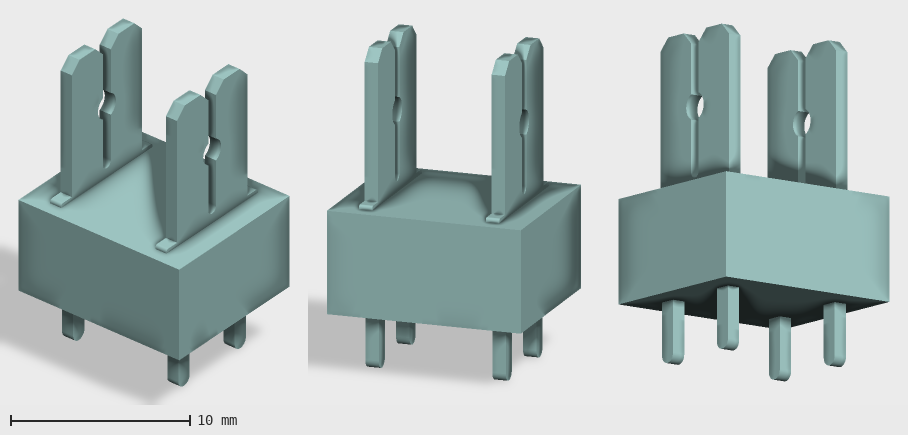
import cadquery as cq

HOUSING_LENGTH = 11.5
HOUSING_WIDTH = 9.8
HOUSING_HEIGHT = 6.0

TERMINAL_SPACING = 7.53
TERMINAL_THICKNESS = 0.8

OVERALL_HEIGHT = 18.5
BLADE_RISE = 9.0
BLADE_WIDTH = 6.23
TIP_CHAMFER = 0.68
SLOT_WIDTH = 0.68
SLOT_DEPTH = 8.36
HOLE_DIAMETER = 1.6
HOLE_DEPTH = 4.3

SHOULDER_WIDTH = 8.12
SHOULDER_RISE = 0.25
SHOULDER_FILLET = 0.18
SHOULDER_BOTTOM = HOUSING_HEIGHT / 2

LEG_WIDTH = 1.0
LEG_SPACING = 5.0

BLADE_TOP = HOUSING_HEIGHT + BLADE_RISE
SHOULDER_TOP = HOUSING_HEIGHT + SHOULDER_RISE
LEG_BOTTOM = BLADE_TOP - OVERALL_HEIGHT


def plate(width, bottom, top, center_y=0):
    """Upright rectangular plate of terminal thickness."""
    return cq.Workplane("XY").box(TERMINAL_THICKNESS, width, top - bottom).translate(
        (0, center_y, (bottom + top) / 2)
    )


def disc(diameter, center_y, center_z):
    """Round disc of terminal thickness, with its axis along X."""
    return (
        cq.Workplane("YZ", origin=(-TERMINAL_THICKNESS / 2, 0, 0))
        .center(center_y, center_z)
        .circle(diameter / 2)
        .extrude(TERMINAL_THICKNESS)
    )


def make_prong(side):
    """One half of the blade, with both tip corners chamfered."""
    prong_width = (BLADE_WIDTH - SLOT_WIDTH) / 2
    center_y = side * (BLADE_WIDTH + SLOT_WIDTH) / 4
    prong = plate(prong_width, SHOULDER_TOP, BLADE_TOP, center_y)
    return prong.faces(">Z").edges("|X").chamfer(TIP_CHAMFER)


def make_blade():
    """Two prongs joined below a round-bottomed slot, with a round hole across the slot."""
    slot_end = BLADE_TOP - SLOT_DEPTH + SLOT_WIDTH / 2
    bridge = plate(SLOT_WIDTH, SHOULDER_TOP, slot_end).cut(disc(SLOT_WIDTH, 0, slot_end))
    hole = disc(HOLE_DIAMETER, 0, BLADE_TOP - HOLE_DEPTH)
    return make_prong(-1).union(make_prong(1)).union(bridge).cut(hole)


def make_shoulder():
    """Wide base of the terminal, with rounded upper corners."""
    shoulder = plate(SHOULDER_WIDTH, SHOULDER_BOTTOM, SHOULDER_TOP)
    return shoulder.faces(">Z").edges("|X").fillet(SHOULDER_FILLET)


def make_leg(side):
    """Straight leg with a semicircular lower end."""
    center_y = side * LEG_SPACING / 2
    round_center = LEG_BOTTOM + LEG_WIDTH / 2
    leg = plate(LEG_WIDTH, round_center, SHOULDER_BOTTOM, center_y)
    return leg.union(disc(LEG_WIDTH, center_y, round_center))


def make_terminal(side):
    """Complete terminal on the given side of the housing."""
    terminal = make_shoulder().union(make_blade())
    for leg_side in (-1, 1):
        terminal = terminal.union(make_leg(leg_side))
    return terminal.translate((side * TERMINAL_SPACING / 2, 0, 0))


def make_housing(inserts):
    """Block with recesses that match the inserted terminals."""
    block = cq.Workplane("XY").box(
        HOUSING_LENGTH, HOUSING_WIDTH, HOUSING_HEIGHT, centered=(True, True, False)
    )
    for insert in inserts:
        block = block.cut(insert)
    return block


terminals = [make_terminal(side) for side in (-1, 1)]
housing = make_housing(terminals)

terminal_solids = [terminal.solids().val() for terminal in terminals]
result = cq.Compound.makeCompound([housing.solids().val(), *terminal_solids])